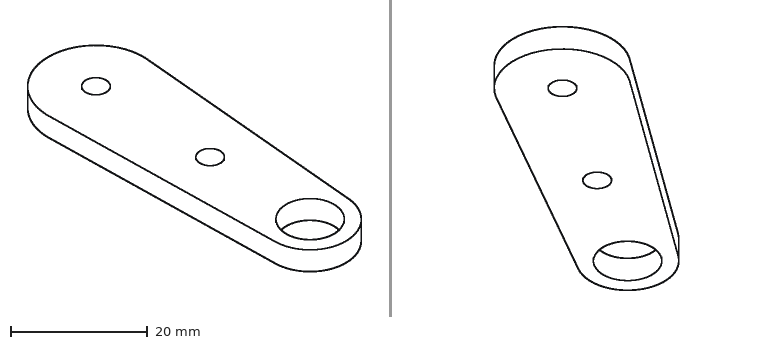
import cadquery as cq
import math

length = 62.5
thickness = 4.0
large_radius = 10.0
small_radius = 7.5
bolt_hole_diameter = 4.2
bolt_hole_spacing = 24.0
end_hole_diameter = 10.0

small_end_x = length - large_radius - small_radius

corner_distance = math.hypot(small_end_x, large_radius)
corner_direction = math.atan2(large_radius, -small_end_x)
tangent_angle = corner_direction - math.acos(small_radius / corner_distance)
tangent_x = small_end_x + small_radius * math.cos(tangent_angle)
tangent_y = small_radius * math.sin(tangent_angle)


def make_plate():
    """Tapered plate with a semicircular large end and a rounded small end."""
    return (
        cq.Workplane("XY")
        .moveTo(0, large_radius)
        .lineTo(tangent_x, tangent_y)
        .threePointArc((small_end_x + small_radius, 0), (tangent_x, -tangent_y))
        .lineTo(0, -large_radius)
        .threePointArc((-large_radius, 0), (0, large_radius))
        .close()
        .extrude(thickness)
    )


def drill(body, positions, diameter):
    """Cut vertical through holes at the given points."""
    cutter = cq.Workplane("XY").pushPoints(positions).circle(diameter / 2).extrude(thickness)
    return body.cut(cutter)


result = make_plate()
result = drill(result, [(0, 0), (bolt_hole_spacing, 0)], bolt_hole_diameter)
result = drill(result, [(small_end_x, 0)], end_hole_diameter)